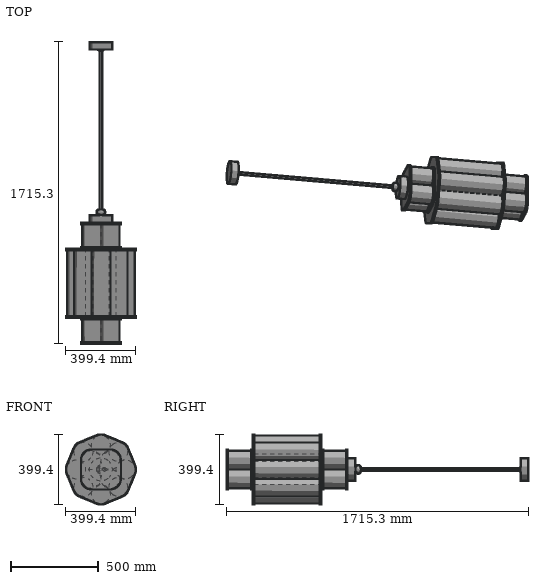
import cadquery as cq
import math


tube_radius = 53.5
tube_gap = 0.2
tube_spacing = 2 * tube_radius + tube_gap
large_tube_count = 8
small_tube_count = 4

large_ring_phase = 0
small_ring_phase = 180 / small_tube_count

plate_overhang = 6.14
plate_corner_radius = tube_radius + plate_overhang
small_plate_thickness = 10.0
large_plate_thickness = 11.0

small_section_length = 148.0
large_section_length = 393.0
canopy_length = 43.0
overall_length = 1715.29

canopy_radius = 65.0
rod_radius = 8.0
knob_radius = 25.0
knob_length = 32.0
collar_radius = 17.0
collar_length = 7.0

large_section_start = small_section_length
upper_section_start = large_section_start + large_section_length
lower_canopy_start = upper_section_start + small_section_length
knob_start = lower_canopy_start + canopy_length
upper_canopy_start = overall_length - canopy_length


def plane_at(y):
    """Plane across the axis at height y, with local x along X and extrusion along +Y."""
    return cq.Workplane(cq.Plane(origin=(0, y, 0), xDir=(1, 0, 0), normal=(0, 1, 0)))


def cylinder(y, radius, length):
    return plane_at(y).circle(radius).extrude(length)


def ring_radius(count):
    """Pitch radius at which neighbouring tubes sit one spacing apart."""
    return tube_spacing / 2 / math.sin(math.pi / count)


def plate(y, count, phase, thickness):
    """Polygon with one rounded corner concentric with each tube."""
    inscribed = ring_radius(count) * math.cos(math.pi / count) + plate_corner_radius
    circumradius = inscribed / math.cos(math.pi / count)
    blank = plane_at(y).transformed(rotate=(0, 0, phase)).polygon(count, 2 * circumradius)
    return blank.extrude(thickness).edges("|Y").fillet(plate_corner_radius)


def tube_section(y, count, phase, length, thickness):
    """Bundle of parallel tubes held between two end plates."""
    tubes = (
        plane_at(y)
        .polarArray(ring_radius(count), phase, 360, count)
        .circle(tube_radius)
        .extrude(length)
    )
    lower = plate(y, count, phase, thickness)
    upper = plate(y + length - thickness, count, phase, thickness)
    return lower.union(tubes).union(upper)


def small_section(y):
    return tube_section(y, small_tube_count, small_ring_phase, small_section_length, small_plate_thickness)


def large_section(y):
    return tube_section(y, large_tube_count, large_ring_phase, large_section_length, large_plate_thickness)


def canopy(y):
    return cylinder(y, canopy_radius, canopy_length)


def knob():
    """Flattened ball where the rod enters the lamp: flat ends joined by a semicircular rim."""
    rim_radius = knob_length / 2
    end_radius = knob_radius - rim_radius
    knob_end = knob_start + knob_length
    profile = (
        cq.Workplane("XY")
        .moveTo(0, knob_start)
        .lineTo(end_radius, knob_start)
        .threePointArc((knob_radius, knob_start + rim_radius), (end_radius, knob_end))
        .lineTo(0, knob_end)
        .close()
    )
    return profile.revolve(360, (0, 0, 0), (0, 1, 0))


def collar():
    """Conical collar where the rod meets the upper canopy."""
    base = plane_at(upper_canopy_start - collar_length).circle(rod_radius)
    return base.workplane(offset=collar_length).circle(collar_radius).loft()


result = (
    small_section(0)
    .union(large_section(large_section_start))
    .union(small_section(upper_section_start))
    .union(canopy(lower_canopy_start))
    .union(knob())
    .union(cylinder(knob_start, rod_radius, upper_canopy_start - knob_start))
    .union(collar())
    .union(canopy(upper_canopy_start))
)